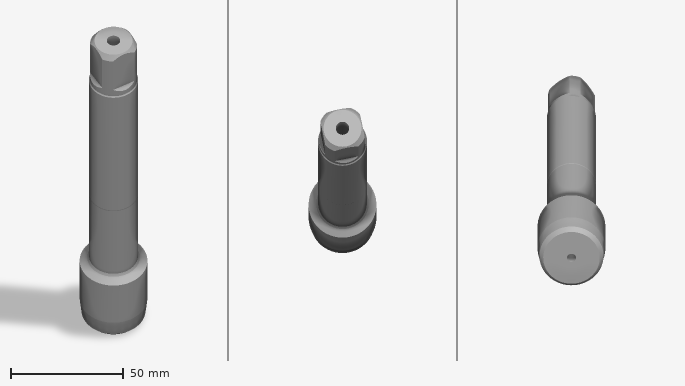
import cadquery as cq

total_height = 180.0
lead_start = 2.2
lead_end = 10.5
shoulder_start = 35.0
head_height = 37.0
neck_root_height = 1.0
neck_top = 79.4
neck_bevel_height = 0.5
shank_top = 154.8
square_bottom = 159.0
drive_bevel_height = 2.3
shank_bevel = 0.5

head_diameter = 30.2
lead_diameter = 28.6
tip_diameter = 25.2
shoulder_top_diameter = 23.4
neck_diameter = 21.8
shank_diameter = 22.0
drive_diameter = 21.0
drive_top_diameter = 17.0
shank_bore_diameter = 6.0
head_bore_diameter = 4.0

square_width = 18.0


def turned(profile):
    """Revolve (diameter, height) corners, closed along the axis, about Z."""
    points = [(diameter / 2, height) for diameter, height in profile]
    points = [(0, points[0][1])] + points + [(0, points[-1][1])]
    return cq.Workplane("XZ").polyline(points).close().revolve(360, (0, 0), (0, 1))


def bore(diameter, bottom, top):
    return cq.Workplane("XY").workplane(offset=bottom).circle(diameter / 2).extrude(top - bottom)


def drive_envelope():
    """Square prism whose lower end spreads outward at 45 degrees, clearing the shank below."""
    runout = (shank_diameter - square_width) / 2
    prism = (
        cq.Workplane("XY").workplane(offset=square_bottom)
        .rect(square_width, square_width).extrude(total_height - square_bottom)
    )
    spread = (
        cq.Workplane("XY").workplane(offset=square_bottom - runout)
        .rect(shank_diameter, shank_diameter)
        .workplane(offset=runout).rect(square_width, square_width).loft(ruled=True)
    )
    lower_height = square_bottom - runout - neck_top
    lower = (
        cq.Workplane("XY").workplane(offset=neck_top)
        .rect(shank_diameter, shank_diameter).extrude(lower_height)
    )
    return lower.union(spread).union(prism)


def make_head():
    body = turned([
        (tip_diameter, 0),
        (lead_diameter, lead_start),
        (head_diameter, lead_end),
        (head_diameter, shoulder_start),
        (shoulder_top_diameter, head_height),
    ])
    return body.cut(bore(head_bore_diameter, 0, head_height))


def make_shank():
    upper = turned([
        (neck_diameter, neck_top),
        (shank_diameter, neck_top + neck_bevel_height),
        (shank_diameter, shank_top - shank_bevel),
        (drive_diameter, shank_top),
        (drive_diameter, total_height - drive_bevel_height),
        (drive_top_diameter, total_height),
    ])
    upper = upper.intersect(drive_envelope())
    neck = turned([
        (shoulder_top_diameter, head_height),
        (neck_diameter, head_height + neck_root_height),
        (neck_diameter, neck_top),
    ])
    return neck.union(upper).cut(bore(shank_bore_diameter, head_height, total_height))


head = make_head()
shank = make_shank()

result = cq.Compound.makeCompound([head.val(), shank.val()])